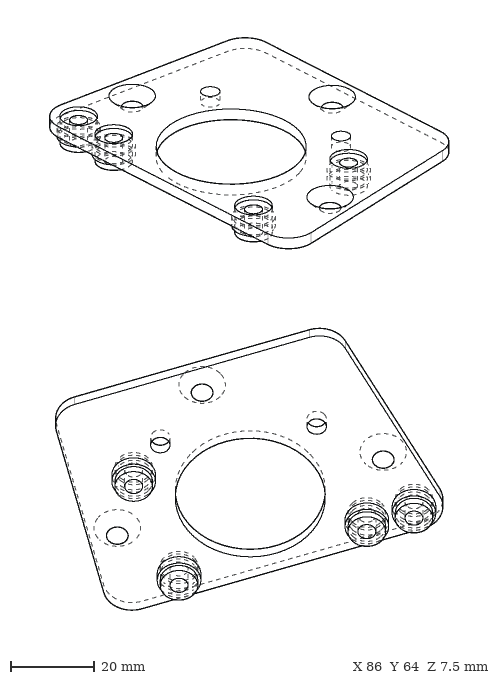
import cadquery as cq

plate_thickness = 3.0
plate_length = 86.0
plate_back_y = 41.0
plate_front_y = -22.95
corner_radius = 7.0
front_corner_x = plate_length / 2 - corner_radius
back_corner_x = 30.0
front_corner_y = plate_front_y + corner_radius
back_corner_y = plate_back_y - corner_radius

opening_diameter = 36.0

screw_circle_radius = 34.0
screw_head_diameter = 11.2
screw_hole_diameter = screw_head_diameter - 2 * plate_thickness
screw_points = [(-screw_circle_radius, 0), (screw_circle_radius, 0), (0, screw_circle_radius)]

plain_hole_diameter = 4.6
plain_long_offset = 22.35
plain_short_offset = 14.9
plain_hole_points = [(-plain_long_offset, plain_short_offset), (plain_short_offset, plain_long_offset)]

bore_diameter = 4.3
shank_diameter = 9.0
flange_diameter = 10.5
flange_height = 2.5
shank_height = 2.0
bushing_x = 24.0
bushing_y = -front_corner_y
bushing_points = [
    (-front_corner_x, -bushing_y),
    (-bushing_x, -bushing_y),
    (bushing_x, -bushing_y),
    (bushing_x, bushing_y),
]


def make_blank():
    """Trapezoid through the corner centres, grown outward to round the corners."""
    corner_centres = [
        (-front_corner_x, front_corner_y),
        (front_corner_x, front_corner_y),
        (back_corner_x, back_corner_y),
        (-back_corner_x, back_corner_y),
    ]
    outline = cq.Workplane("XY").polyline(corner_centres).close().offset2D(corner_radius, "arc")
    return outline.extrude(plate_thickness)


def make_holes(points, diameter):
    """Straight cutters through the plate."""
    return cq.Workplane("XY").pushPoints(points).circle(diameter / 2).extrude(plate_thickness)


def make_countersink(point):
    """Conical cutter, narrow at the underside and wide at the top face."""
    return (
        cq.Workplane("XY")
        .center(*point)
        .circle(screw_hole_diameter / 2)
        .workplane(offset=plate_thickness)
        .circle(screw_head_diameter / 2)
        .loft()
    )


def make_plate():
    plate = make_blank()
    plate = plate.cut(make_holes([(0, 0)], opening_diameter))
    plate = plate.cut(make_holes(plain_hole_points, plain_hole_diameter))
    plate = plate.cut(make_holes(bushing_points, shank_diameter))
    for point in screw_points:
        plate = plate.cut(make_countersink(point))
    return plate.solids().val()


def make_bushing(point):
    """Bored bushing whose flange bears on the underside of the plate."""
    bottom_z = -flange_height - shank_height
    total_height = flange_height + 2 * shank_height
    base = cq.Workplane("XY", origin=(*point, bottom_z))
    shank = base.circle(shank_diameter / 2).extrude(total_height)
    flange = base.workplane(offset=shank_height).circle(flange_diameter / 2).extrude(flange_height)
    bore = base.circle(bore_diameter / 2).extrude(total_height)
    return shank.union(flange).cut(bore).solids().val()


plate = make_plate()
bushings = [make_bushing(point) for point in bushing_points]

result = cq.Compound.makeCompound([plate, *bushings])